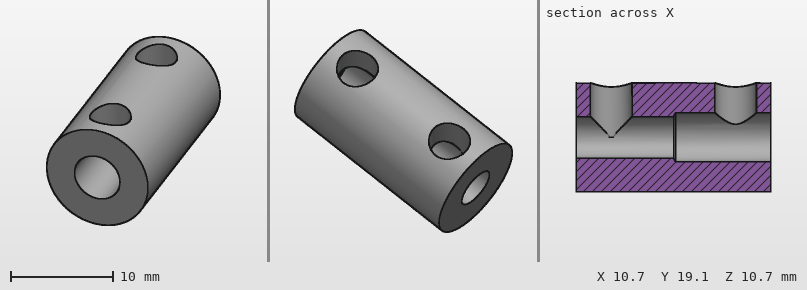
import cadquery as cq
import math

length = 19.05
outer_diameter = 10.67

wide_bore_diameter = 4.78
narrow_bore_diameter = 4.02
wide_bore_depth = length / 2
drill_point_angle = 118.0
cone_width = (wide_bore_diameter - narrow_bore_diameter) / 2
cone_length = cone_width / math.tan(math.radians(drill_point_angle / 2))

screw_hole_diameter = 4.04
screw_hole_end_distance = 3.45


def cylinder_along_y(diameter, start_y, end_y):
    return cq.Workplane("XZ", origin=(0, start_y, 0)).circle(diameter / 2).extrude(start_y - end_y)


front_y = -length / 2
back_y = length / 2

sleeve = cylinder_along_y(outer_diameter, front_y, back_y)
narrow_bore = cylinder_along_y(narrow_bore_diameter, front_y, back_y)
wide_bore = cylinder_along_y(wide_bore_diameter, front_y, front_y + wide_bore_depth)
wide_bore = wide_bore.faces(">Y").chamfer(cone_length, cone_width)

screw_hole_y = length / 2 - screw_hole_end_distance
screw_holes = (
    cq.Workplane("XY")
    .pushPoints([(0, -screw_hole_y), (0, screw_hole_y)])
    .circle(screw_hole_diameter / 2)
    .extrude(outer_diameter / 2)
)

result = sleeve.cut(narrow_bore).cut(wide_bore).cut(screw_holes)